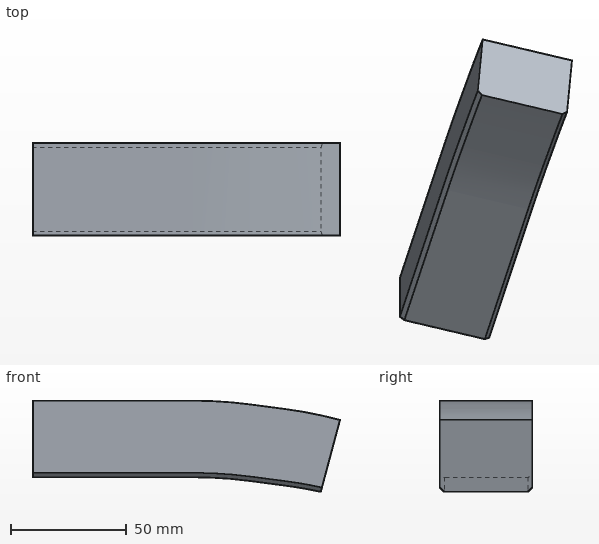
import cadquery as cq
import math

length = 132.5
width = 40.0
height = 33.1
flat_length = 69.3
bend_radius = 185.6
bend_angle = 7.5
edge_chamfer = 2.0


def bend_offset(degrees):
    """Run and drop from the start of a bend after turning by the given angle."""
    angle = math.radians(degrees)
    return bend_radius * math.sin(angle), bend_radius * (1 - math.cos(angle))


half_run, half_drop = bend_offset(bend_angle / 2)
first_run, first_drop = bend_offset(bend_angle)
middle_run, middle_drop = bend_offset(1.5 * bend_angle)
full_run, full_drop = bend_offset(2 * bend_angle)

ramp_start = flat_length + first_run
ramp_end = length - (full_run - first_run)
ramp_end_drop = first_drop + (ramp_end - ramp_start) * math.tan(math.radians(bend_angle))
second_middle = (ramp_end + middle_run - first_run, ramp_end_drop + middle_drop - first_drop)
tip_drop = ramp_end_drop + full_drop - first_drop


def curved_solid():
    """Solid whose top and bottom follow the same curve."""
    return (
        cq.Workplane("XZ")
        .moveTo(0, 0)
        .lineTo(0, height)
        .lineTo(flat_length, height)
        .threePointArc((flat_length + half_run, height - half_drop), (ramp_start, height - first_drop))
        .lineTo(ramp_end, height - ramp_end_drop)
        .threePointArc((second_middle[0], height - second_middle[1]), (length, height - tip_drop))
        .lineTo(length, -tip_drop)
        .threePointArc((second_middle[0], -second_middle[1]), (ramp_end, -ramp_end_drop))
        .lineTo(ramp_start, -first_drop)
        .threePointArc((flat_length + half_run, -half_drop), (flat_length, 0))
        .close()
        .extrude(width / 2, both=True)
    )


def end_trim():
    """Wedge that leaves the end face square to the curve at the upper tip."""
    tip_height = height - tip_drop
    depth = height + tip_drop
    setback = depth * math.tan(math.radians(2 * bend_angle))
    return (
        cq.Workplane("XZ")
        .polyline([(length, tip_height), (length, tip_height - depth), (length - setback, tip_height - depth)])
        .close()
        .extrude(width, both=True)
    )


body = curved_solid()
lower_edges = cq.selectors.BoxSelector((0, -width, -tip_drop), (length, width, height / 4))
result = body.faces("<Y or >Y").edges("not |Z").edges(lower_edges).chamfer(edge_chamfer).cut(end_trim())